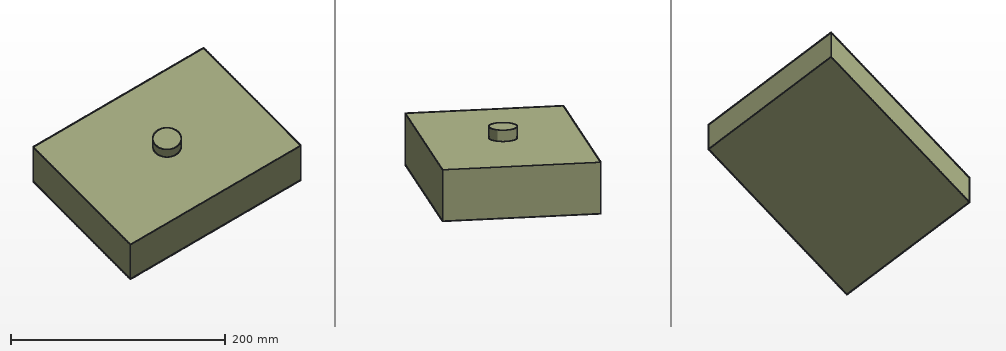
import cadquery as cq

block_width = 150.0
block_length = 200.0
block_height = 50.0

boss_diameter = 26.5
total_height = 61.0
boss_height = total_height - block_height

block = cq.Workplane("XY").box(block_width, block_length, block_height, centered=(True, True, False))

result = block.faces(">Z").workplane().circle(boss_diameter / 2).extrude(boss_height)